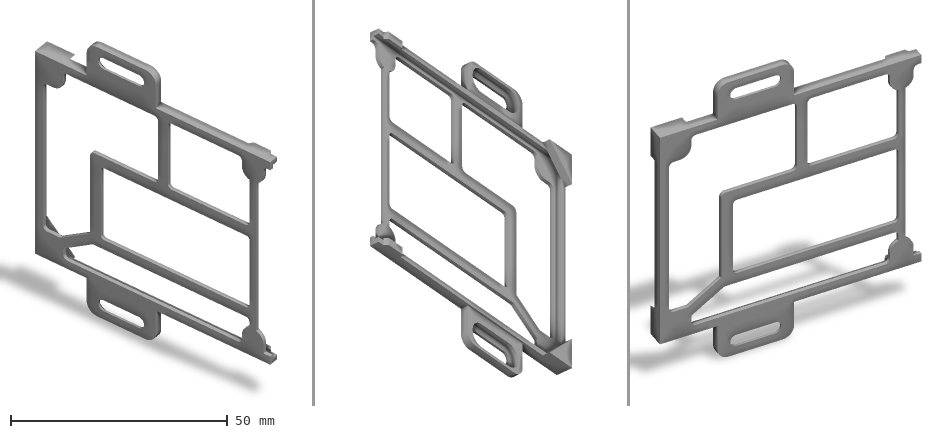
import cadquery as cq

length = 68.2
height = 59.6
skin_thickness = 1.0
wall_depth = 2.6
wall_width = 1.4
border = 2.4
mid_z = height / 2

land_radius = 3.1
land_center_inset = 5.1
left_land = land_center_inset + land_radius
arch_x = 63.1
arch_left = arch_x - land_radius

strip_left = 62.2
strip_right = 64.1
divider_left = 35.7
divider_right = 38.5
upper_rib_bottom = 34.7
upper_rib_top = 37.8
post_left = 16.0
post_right = 19.1
lower_rib_bottom = 10.8
lower_rib_top = 13.6
diagonal_slope = 0.627
slope_top_offset = 0.8
window_radius = 1.2
center_window_radius = 1.0
blunt_radius = 0.4

ear_center_x = 25.0
ear_width = 20.0
ear_height = 9.8
ear_thickness = 2.1
ear_radius = 3.0
slot_length = 13.3
slot_width = 3.2
slot_inset = 4.0
slot_lip = 0.6
recess_margin = 1.6

corner_depth = 4.6
corner_length = 8.2
clip_depth = 3.6
clip_base_right = 66.4
clip_slant = 0.7
clip_height = 2.0


def box(x0, x1, y0, y1, z0, z1):
    """Axis-aligned block between two opposite corners."""
    return cq.Workplane("XY").box(x1 - x0, y1 - y0, z1 - z0, centered=False).translate((x0, y0, z0))


def mirror_z(body):
    """Mirror image of a body about the mid height of the frame."""
    return body.mirror("XY", (0, 0, mid_z))


def rounded_prism(corners, depth):
    """Extrude a polygon of (x, z, radius) corners from y = 0 to y = depth."""
    prism = cq.Workplane("XZ").polyline([(x, z) for x, z, _ in corners]).close().extrude(-depth)
    for x, z, radius in corners:
        if radius > 0:
            corner_edge = cq.NearestToPointSelector((x, depth / 2, z))
            prism = prism.edges("|Y").edges(corner_edge).fillet(radius)
    return prism


def round_corner(body, x, z, radius):
    """Round the single skin-deep edge of a cutter at (x, z)."""
    corner_edge = cq.NearestToPointSelector((x, skin_thickness / 2, z))
    return body.edges("|Y").edges(corner_edge).fillet(radius)


def arched_lands():
    """Lower and upper arched lands next to the right strip."""
    disc = cq.Workplane("XZ").center(arch_x, land_center_inset).circle(land_radius).extrude(-skin_thickness)
    stem = box(arch_left, arch_x + land_radius, 0, skin_thickness, 0, land_center_inset)
    land = stem.union(disc)
    return land.union(mirror_z(land))


def left_window():
    """L-shaped window with a sloping lower right side and a rounded corner land."""
    land_bottom = height - left_land
    slope_end_x = post_left - (lower_rib_top - left_land) / diagonal_slope
    return rounded_prism(
        [
            (border, left_land, window_radius),
            (slope_end_x, left_land, blunt_radius),
            (post_left, lower_rib_top, blunt_radius),
            (post_left, upper_rib_top, window_radius),
            (divider_left, upper_rib_top, window_radius),
            (divider_left, height - border, window_radius),
            (left_land, height - border, window_radius),
            (left_land, land_bottom, land_radius),
            (border, land_bottom, window_radius),
        ],
        skin_thickness,
    )


def upper_right_window():
    top = height - border
    window = rounded_prism(
        [
            (divider_right, upper_rib_top, window_radius),
            (strip_left, upper_rib_top, window_radius),
            (strip_left, top, 0),
            (divider_right, top, window_radius),
        ],
        skin_thickness,
    )
    return round_corner(window.cut(arched_lands()), arch_left, top, window_radius)


def center_window():
    return rounded_prism(
        [
            (post_right, lower_rib_top, center_window_radius),
            (strip_left, lower_rib_top, center_window_radius),
            (strip_left, upper_rib_bottom, center_window_radius),
            (post_right, upper_rib_bottom, center_window_radius),
        ],
        skin_thickness,
    )


def lower_window():
    """Window below the lower rib, its upper left side parallel to the diagonal rib."""
    slope_top_x = post_left + slope_top_offset
    slope_low_z = lower_rib_bottom - (slope_top_x - left_land) * diagonal_slope
    window = rounded_prism(
        [
            (left_land, border, window_radius),
            (strip_left, border, 0),
            (strip_left, lower_rib_bottom, window_radius),
            (slope_top_x, lower_rib_bottom, window_radius),
            (left_land, slope_low_z, blunt_radius),
        ],
        skin_thickness,
    )
    return round_corner(window.cut(arched_lands()), arch_left, border, window_radius)


def right_notch():
    """Open region right of the strip; only its upper inner corner is rounded."""
    top = height - border
    notch = box(strip_right, length, 0, skin_thickness, border, top).cut(arched_lands())
    return round_corner(notch, arch_x + land_radius, top, window_radius)


def skin():
    plate = box(0, length, 0, skin_thickness, 0, height)
    for opening in (left_window(), upper_right_window(), center_window(), lower_window(), right_notch()):
        plate = plate.cut(opening)
    return plate


def lower_wall():
    """Bottom wall with its clip and the triangular cap over the bottom left corner."""
    rail = box(0, length, 0, wall_depth, 0, wall_width)
    clip = (
        cq.Workplane("XY")
        .polyline(
            [
                (arch_left, wall_depth),
                (clip_base_right, wall_depth),
                (clip_base_right - clip_slant, clip_depth),
                (arch_left + clip_slant, clip_depth),
            ]
        )
        .close()
        .extrude(clip_height)
    )
    corner_cap = (
        cq.Workplane("XZ", origin=(0, wall_depth, 0))
        .polyline([(0, 0), (corner_length, 0), (0, corner_length)])
        .close()
        .extrude(wall_depth - corner_depth)
    )
    return rail.union(clip).union(corner_cap)


def ear_slot(start_y, margin):
    """Slot cutter from start_y to the back of the ear, grown by margin all round."""
    return (
        cq.Workplane("XZ", origin=(ear_center_x, start_y, slot_inset - ear_height))
        .slot2D(slot_length + 2 * margin, slot_width + 2 * margin)
        .extrude(start_y - ear_thickness)
    )


def lower_ear():
    """Lower fixing ear: a slot with a wider recess behind its thin front lip."""
    left = ear_center_x - ear_width / 2
    right = ear_center_x + ear_width / 2
    ear = rounded_prism(
        [(left, 0, 0), (left, -ear_height, ear_radius), (right, -ear_height, ear_radius), (right, 0, 0)],
        ear_thickness,
    )
    slot = ear_slot(0, 0)
    recess = ear_slot(slot_lip, recess_margin)
    return ear.cut(slot).cut(recess)


left_wall = box(0, wall_width, 0, wall_depth, 0, height)
result = skin().union(left_wall)
for lower_part in (lower_wall(), lower_ear()):
    result = result.union(lower_part).union(mirror_z(lower_part))
result = result.clean()